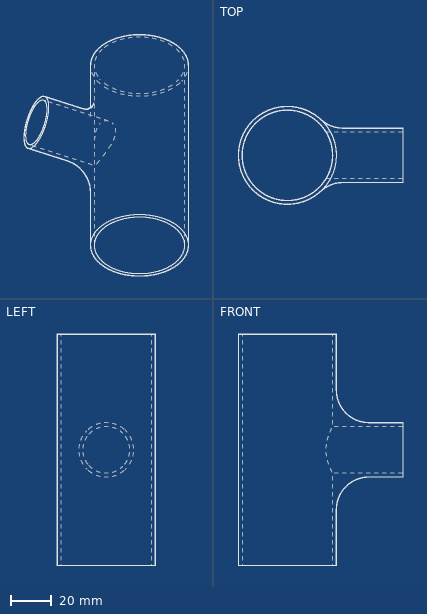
import cadquery as cq

run_length = 114.0
run_diameter = 48.3
branch_diameter = 26.9
branch_reach = 57.0
wall = 1.9
blend_radius = 16.0


def run_cylinder(diameter):
    """Vertical cylinder, centred on the origin, over the full run length."""
    return cq.Workplane("XY").circle(diameter / 2).extrude(run_length / 2, both=True)


def branch_cylinder(diameter):
    """Cylinder from the run axis out to the branch end."""
    return cq.Workplane("YZ").circle(diameter / 2).extrude(branch_reach)


junction_edge = cq.selectors.BoxSelector(
    (0, -branch_diameter, -branch_diameter),
    (branch_reach - wall, branch_diameter, branch_diameter),
)
body = run_cylinder(run_diameter).union(branch_cylinder(branch_diameter))
body = body.edges("not %LINE").edges(junction_edge).fillet(blend_radius)

run_bore = run_cylinder(run_diameter - 2 * wall)
branch_bore = branch_cylinder(branch_diameter - 2 * wall)
result = body.cut(run_bore).cut(branch_bore)